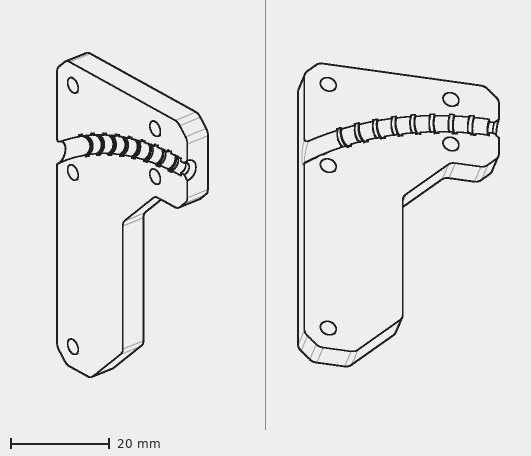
import cadquery as cq
import math

height = 70.0
width = 40.5
thickness = 5.5
stem_width = 20.5
arm_height = 20.0
corner_cut = 3.0
large_cut = 10.0
corner_radius = 2.0

hole_diameter = 3.3
hole_inset = 5.0
lower_side_hole_drop = 25.0
arm_hole_x = 30.5
arm_hole_drops = (4.5, 15.5)

channel_radius = 1.95
channel_bend_radius = 65.0
channel_end_x = 38.5
channel_end_z = height - arm_height / 2
channel_sweep = 50.0
bend_center_z = channel_end_z - channel_bend_radius
entry_rounding = 0.5

ring_radius = 2.3
ring_width = 1.0
ring_count = 8
ring_pitch = 4.0

outlet_radius = 1.3
outlet_flare = 1.0


def make_plate():
    """Outline on the XZ plane, thickened towards +Y, with rounded corners."""
    arm_z = height - arm_height
    outline = [
        (corner_cut, 0),
        (stem_width - large_cut, 0),
        (stem_width, large_cut),
        (stem_width, arm_z - large_cut),
        (stem_width + large_cut, arm_z),
        (width - corner_cut, arm_z),
        (width, arm_z + corner_cut),
        (width, height - corner_cut),
        (width - corner_cut, height),
        (corner_cut, height),
        (0, height - corner_cut),
        (0, corner_cut),
    ]
    plate = cq.Workplane("XZ").polyline(outline).close().extrude(-thickness)
    return plate.edges("|Y").fillet(corner_radius)


def make_holes():
    """Cylinders for the screw holes through the thickness."""
    side_holes = [
        (hole_inset, hole_inset),
        (hole_inset, height - lower_side_hole_drop),
        (hole_inset, height - hole_inset),
    ]
    arm_holes = [(arm_hole_x, height - drop) for drop in arm_hole_drops]
    return (
        cq.Workplane("XZ")
        .pushPoints(side_holes + arm_holes)
        .circle(hole_diameter / 2)
        .extrude(-thickness)
    )


def make_channel():
    """Round tube bent about an axis parallel to Y, half of it inside the plate."""
    return (
        cq.Workplane("YZ", origin=(channel_end_x, 0, channel_end_z))
        .circle(channel_radius)
        .revolve(channel_sweep, (0, -channel_bend_radius), (-1, -channel_bend_radius))
    )


def make_ring(index):
    """Short disc about the channel path, reaching from its station towards the outlet."""
    angle = index * ring_pitch / channel_bend_radius
    direction = cq.Vector(math.cos(angle), 0, math.sin(angle))
    start = cq.Vector(
        channel_end_x - channel_bend_radius * math.sin(angle),
        0,
        bend_center_z + channel_bend_radius * math.cos(angle),
    )
    return cq.Solid.makeCylinder(ring_radius, ring_width, start, direction)


def make_outlet():
    """Straight bore that opens as a 45 degree cone at the +X side."""
    flare_start = width - outlet_flare
    profile = [
        (channel_end_x, 0),
        (channel_end_x, outlet_radius),
        (flare_start, outlet_radius),
        (width, outlet_radius + outlet_flare),
        (width, 0),
    ]
    return (
        cq.Workplane("XY", origin=(0, 0, channel_end_z))
        .polyline(profile)
        .close()
        .revolve(360, (0, 0), (1, 0))
    )


def round_entry(body):
    """Round the curved edge where the channel breaks out of the -X side."""
    return body.faces("<X").edges("not %LINE").fillet(entry_rounding)


result = make_plate().cut(make_holes()).cut(make_channel())
result = round_entry(result)
for ring_index in range(1, ring_count + 1):
    result = result.cut(cq.Workplane(make_ring(ring_index)))
result = result.cut(make_outlet())